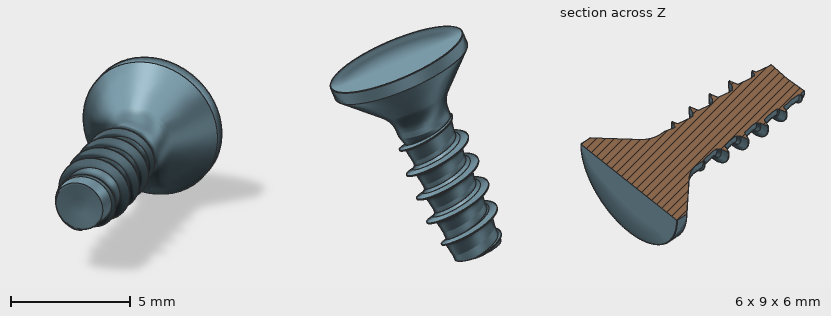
import cadquery as cq
import math

length = 9.0
head_radius = 6.0 / 2
rim_height = 0.56
rim_chamfer = 0.03
neck_radius = 1.18
neck_fillet = 1.21
neck_end = -3.13
neck_taper_end = -3.62
core_radius = 1.04
tip_recess_radius = 0.99
tip_recess_depth = 0.05

pitch = 1.12
crest_radius = 1.51
crest_width = 0.045
crest_at_minus_x = -7.61
sink_per_turn = 0.28
tip_sink_turns = 1.75
head_sink_turns = 1.25
full_thread_bottom = -7.335
full_thread_top = -4.25
flank_foot = 0.25
flank_knee = 0.13
knee_radius = 1.19
lower_flank_foot = 0.18
thread_root = 0.9

land_radius = 1.16
land_length = 0.675
land_start = -8.64
land_root = 1.01


def make_body():
    """Head, neck, core and shallow conical tip recess as one revolved outline."""
    diagonal = math.sqrt(0.5)
    fillet_rise = neck_fillet * (1 - diagonal)
    cone_radius = neck_radius + fillet_rise
    cone_end = -rim_height - (head_radius - cone_radius)
    neck_start = cone_end - neck_fillet * diagonal
    half_angle = math.radians(45 / 2)
    fillet_middle = (
        neck_radius + neck_fillet * (1 - math.cos(half_angle)),
        neck_start + neck_fillet * math.sin(half_angle),
    )
    return (
        cq.Workplane("XZ")
        .moveTo(0, 0)
        .lineTo(head_radius - rim_chamfer, 0)
        .lineTo(head_radius, -rim_chamfer)
        .lineTo(head_radius, -rim_height)
        .lineTo(cone_radius, cone_end)
        .threePointArc(fillet_middle, (neck_radius, neck_start))
        .lineTo(neck_radius, neck_end)
        .lineTo(core_radius, neck_taper_end)
        .lineTo(core_radius, -length)
        .lineTo(tip_recess_radius, -length)
        .lineTo(0, -length + tip_recess_depth)
        .close()
        .revolve(360, (0, 0, 0), (0, 1, 0))
    )


def helical_solid(profile, bottom, turns, growth_per_turn=0.0):
    """Carry (radius, axial offset) corners along a right-hand helix, up from a crest height."""
    taper = math.atan(growth_per_turn / pitch)
    slant_pitch = pitch / math.cos(taper)
    slant_height = turns * slant_pitch
    cone_angle = math.degrees(taper) if growth_per_turn else 360
    paths = [
        cq.Wire.makeHelix(
            slant_pitch, slant_height, radius, cq.Vector(0, 0, offset), angle=cone_angle
        ).Edges()[0]
        for radius, offset in profile
    ]
    faces = [cq.Face.makeRuledSurface(paths[i - 1], paths[i]) for i in range(len(paths))]
    for end in (0, 1):
        corners = [path.positionAt(end) for path in paths]
        faces.append(cq.Face.makeFromWires(cq.Wire.makePolygon(corners, close=True)))
    solid = cq.Solid.makeSolid(cq.Shell.makeShell(faces))
    solid = cq.Workplane(obj=solid.fix())
    start_angle = 180 + 360 * (bottom - crest_at_minus_x) / pitch
    return solid.rotate((0, 0, 0), (0, 0, 1), start_angle).translate((0, 0, bottom))


def thread_profile(sink):
    """Thread section lowered towards the axis by the given amount."""
    corners = [
        (thread_root, -lower_flank_foot),
        (core_radius, -lower_flank_foot),
        (crest_radius, -crest_width / 2),
        (crest_radius, crest_width / 2),
        (knee_radius, flank_knee),
        (core_radius, flank_foot),
        (thread_root, flank_foot),
    ]
    return [(radius - sink, offset) for radius, offset in corners]


def make_thread():
    """Full-height thread with a sinking run-out at each end."""
    tip_sink = sink_per_turn * tip_sink_turns
    tip_start = full_thread_bottom - tip_sink_turns * pitch
    full_turns = (full_thread_top - full_thread_bottom) / pitch
    return [
        helical_solid(thread_profile(tip_sink), tip_start, tip_sink_turns, sink_per_turn),
        helical_solid(thread_profile(0), full_thread_bottom, full_turns),
        helical_solid(thread_profile(0), full_thread_top, head_sink_turns, -sink_per_turn),
    ]


def make_land():
    """Shallow sawtooth rise of the core leading up to the thread."""
    profile = [
        (land_root, -land_length),
        (core_radius, -land_length),
        (land_radius, 0),
        (land_root, 0),
    ]
    land_turns = (neck_end + land_length / 2 - land_start) / pitch
    return helical_solid(profile, land_start, land_turns)


shank_length = neck_end + length
shank_limit = cq.Workplane("XY").workplane(offset=-length).circle(head_radius).extrude(shank_length)
root_bore = cq.Workplane("XY").workplane(offset=-length).circle(tip_recess_radius).extrude(shank_length)
thread_zone = shank_limit.cut(root_bore)

screw = make_body().union(make_land().intersect(shank_limit))
for ridge in make_thread():
    screw = screw.union(ridge.intersect(thread_zone))

result = screw.rotate((0, 0, 0), (1, 0, 0), -90)